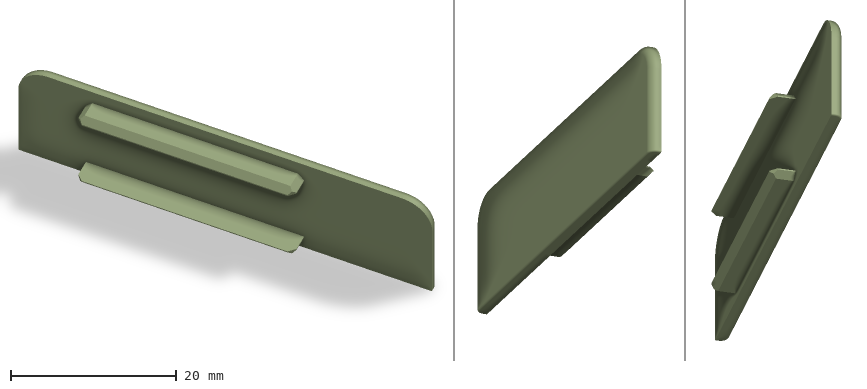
import cadquery as cq

plate_length = 55.0
plate_height = 15.0
plate_thickness = 1.5
corner_radius = 4.0
back_edge_radius = 1.0
bottom_edge_radius = 0.2

rail_length = 29.0
rail_depth = 3.0
rail_thickness = 1.0
rail_bevel = 0.8
rail_center_x = -4.0
upper_rail_margin = 2.0
lower_rail_margin = 1.0

rail_embed = 0.3


def make_plate():
    """Plate with rounded upper corners and back rim, and softly rounded bottom edges."""
    plate = cq.Workplane("XY").box(
        plate_length, plate_thickness, plate_height, centered=(True, False, False)
    )
    plate = plate.edges("|Y and >Z").fillet(corner_radius)
    back_rim = plate.faces(">Y").edges("not <Z")
    plate = back_rim.fillet(back_edge_radius)
    bottom_rim = plate.faces("<Z").edges("not <Y")
    return bottom_rim.fillet(bottom_edge_radius)


def make_rail(bottom_z, outer_side):
    """Rail with a bevel around its outer face (">Z" or "<Z") and straight-cut tip corners."""
    bar = cq.Workplane("XY").box(
        rail_length, rail_depth + rail_embed, rail_thickness, centered=(True, False, False)
    )
    beveled_bar = bar.faces(outer_side).edges("not >Y").chamfer(rail_bevel)
    corner_cut_bar = bar.edges("|Z and <Y").chamfer(rail_bevel)
    rail = beveled_bar.intersect(corner_cut_bar)
    return rail.translate((rail_center_x, -rail_depth, bottom_z))


upper_rail_bottom_z = plate_height - upper_rail_margin - rail_thickness
upper_rail = make_rail(upper_rail_bottom_z, ">Z")
lower_rail = make_rail(lower_rail_margin, "<Z")
result = make_plate().union(upper_rail).union(lower_rail)